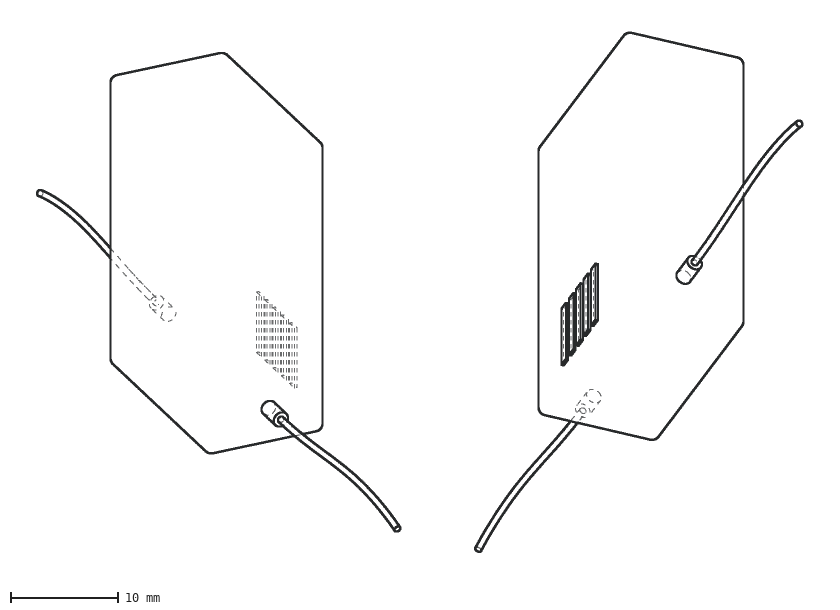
import cadquery as cq

case_width = 21.65
case_depth = 12.2
case_height = 30.2
edge_radius = 0.8

exit_height = 3.8
exit_offset = 0.2
sleeve_diameter = 1.5
sleeve_length = 2.65
wire_diameter = 0.6

sleeve_end = case_width / 2 + sleeve_length
wire_crest = (31.2, 1.0)
wire_tip = (38.7, 0)
exit_direction = (1, 0)
tip_direction = (1, -0.26)

rib_count = 5
rib_pitch = 1.8
rib_width = 1.1
rib_length = 6.3
rib_height = 0.2
rib_center_height = 4.7


def make_case():
    return (
        cq.Workplane("XY")
        .box(case_width, case_depth, case_height, centered=(True, True, False))
        .edges()
        .fillet(edge_radius)
    )


def make_lead():
    """Sleeve and wavy wire leaving the +X side."""
    sleeve = (
        cq.Workplane("YZ")
        .center(exit_offset, exit_height)
        .circle(sleeve_diameter / 2)
        .extrude(sleeve_end)
    )
    path = (
        cq.Workplane("XZ", origin=(0, exit_offset, exit_height))
        .moveTo(sleeve_end, 0)
        .spline([wire_crest, wire_tip], tangents=[exit_direction, tip_direction], includeCurrent=True)
    )
    wire = (
        cq.Workplane("YZ", origin=(sleeve_end, exit_offset, exit_height))
        .circle(wire_diameter / 2)
        .sweep(path)
    )
    return sleeve.union(wire)


def make_ribs():
    return (
        cq.Workplane("XZ", origin=(0, case_depth / 2, rib_center_height))
        .rarray(rib_pitch, 0.8, rib_count, 1)
        .rect(rib_width, rib_length)
        .extrude(-rib_height)
    )


lead = make_lead()
result = make_case().union(lead).union(lead.mirror("YZ")).union(make_ribs())